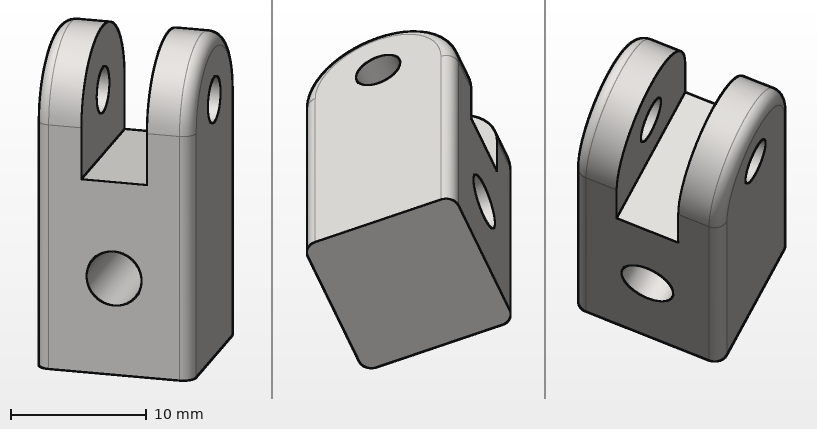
import cadquery as cq

width = 12.0
height = 25.0
edge_radius = 1.0
slot_width = 5.0
slot_depth = 10.0
pin_hole_diameter = 3.5
pin_hole_drop = 5.0
cross_hole_diameter = 4.2
cross_hole_height = 7.5

half_width = width / 2
shoulder_height = height - half_width


def fork_blank():
    """Round-topped block with its two side outlines rounded over."""
    block = (
        cq.Workplane("YZ")
        .moveTo(-half_width, 0)
        .lineTo(half_width, 0)
        .lineTo(half_width, shoulder_height)
        .threePointArc((0, height), (-half_width, shoulder_height))
        .close()
        .extrude(half_width, both=True)
    )
    return block.faces("<X or >X").edges("not <Z").fillet(edge_radius)


def fork_slot():
    """Slot that splits the top into two prongs, open along Y."""
    return (
        cq.Workplane("XY")
        .workplane(offset=height - slot_depth)
        .rect(slot_width, width)
        .extrude(slot_depth)
    )


def through_hole(plane, diameter, centre_height):
    """Cylinder spanning the full width, normal to the given vertical plane."""
    return (
        cq.Workplane(plane)
        .center(0, centre_height)
        .circle(diameter / 2)
        .extrude(half_width, both=True)
    )


pin_hole = through_hole("YZ", pin_hole_diameter, height - pin_hole_drop)
cross_hole = through_hole("XZ", cross_hole_diameter, cross_hole_height)

result = fork_blank().cut(fork_slot()).cut(pin_hole).cut(cross_hole)